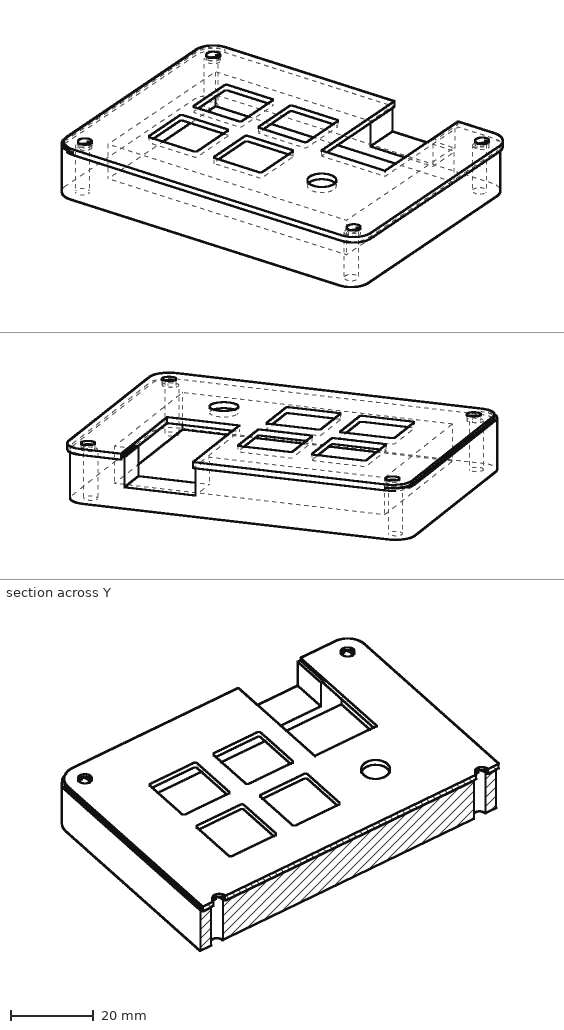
import cadquery as cq

TOTAL_LENGTH = 89.4

OUTLINE_LENGTH = 88.7
OUTLINE_WIDTH = 64.6
CORNER_RADIUS = 5.0
SCREW_HOLE_DIAMETER = 3.4

TOTAL_HEIGHT = 13.9
PLATE_THICKNESS = 1.5
PLATE_RECESS_DEPTH = 0.7
CAVITY_FLOOR = 2.95
NOTCH_FLOOR = 5.45

PLATE_SHIFT = TOTAL_LENGTH - OUTLINE_LENGTH

NOTCH_CENTRE_X = 63.9
PLATE_NOTCH_WIDTH = 18.6
PLATE_NOTCH_LENGTH = 31.1
HOUSING_NOTCH_WIDTH = 18.3

FRAME_WIDTH = 9.5

KEY_WINDOW_SIZE = 14.0
KEY_WINDOW_RADIUS = 0.5
KEY_PITCH = 19.0
FIRST_KEY_X = 23.2
FIRST_KEY_Y = 22.7
KEYS_PER_SIDE = 2

BUTTON_DIAMETER = 7.0
BUTTON_X = 63.5
BUTTON_Y = 20.8

PLATE_BOTTOM = TOTAL_HEIGHT - PLATE_THICKNESS
HOUSING_HEIGHT = PLATE_BOTTOM + PLATE_RECESS_DEPTH


def box_at(x, y, z, length, width, height):
    """Box whose left, front, bottom corner is at (x, y, z)."""
    return cq.Workplane("XY").box(length, width, height, centered=False).translate((x, y, z))


def rounded_block(height):
    """Block with rounded upright edges and its left, front, bottom corner at the origin."""
    return box_at(0, 0, 0, OUTLINE_LENGTH, OUTLINE_WIDTH, height).edges("|Z").fillet(CORNER_RADIUS)


def screw_holes(height):
    """Four cylinders on the axes of the rounded corners."""
    axes = [
        (x, y)
        for x in (CORNER_RADIUS, OUTLINE_LENGTH - CORNER_RADIUS)
        for y in (CORNER_RADIUS, OUTLINE_WIDTH - CORNER_RADIUS)
    ]
    return cq.Workplane("XY").pushPoints(axes).circle(SCREW_HOLE_DIAMETER / 2).extrude(height)


def back_notch(width, length, floor):
    """Volume of the connector notch, open at the back and at the top."""
    left = NOTCH_CENTRE_X - width / 2
    return box_at(left, OUTLINE_WIDTH - length, floor, width, length, TOTAL_HEIGHT)


def key_windows():
    """Grid of square windows with rounded corners."""
    centres = [
        (FIRST_KEY_X + column * KEY_PITCH, FIRST_KEY_Y + row * KEY_PITCH)
        for column in range(KEYS_PER_SIDE)
        for row in range(KEYS_PER_SIDE)
    ]
    windows = cq.Workplane("XY").pushPoints(centres).rect(KEY_WINDOW_SIZE, KEY_WINDOW_SIZE)
    return windows.extrude(PLATE_THICKNESS).edges("|Z").fillet(KEY_WINDOW_RADIUS)


def button_hole():
    hole = cq.Workplane("XY").center(BUTTON_X, BUTTON_Y).circle(BUTTON_DIAMETER / 2)
    return hole.extrude(PLATE_THICKNESS)


def make_plate():
    plate = rounded_block(PLATE_THICKNESS).cut(screw_holes(PLATE_THICKNESS))
    plate = plate.cut(back_notch(PLATE_NOTCH_WIDTH, PLATE_NOTCH_LENGTH, 0))
    plate = plate.cut(key_windows()).cut(button_hole())
    return plate.translate((PLATE_SHIFT, 0, PLATE_BOTTOM))


def make_housing(plate):
    housing = rounded_block(HOUSING_HEIGHT).cut(screw_holes(HOUSING_HEIGHT))
    cavity = box_at(
        FRAME_WIDTH,
        FRAME_WIDTH,
        CAVITY_FLOOR,
        OUTLINE_LENGTH - 2 * FRAME_WIDTH,
        OUTLINE_WIDTH - 2 * FRAME_WIDTH,
        TOTAL_HEIGHT,
    )
    housing = housing.cut(cavity).cut(back_notch(HOUSING_NOTCH_WIDTH, FRAME_WIDTH, NOTCH_FLOOR))
    return housing.cut(plate)


plate = make_plate()
housing = make_housing(plate)

result = cq.Compound.makeCompound([*housing.solids().vals(), *plate.solids().vals()])